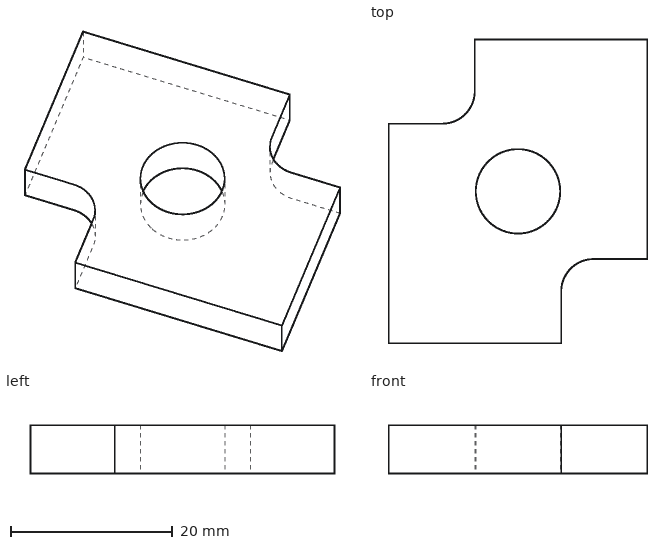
import cadquery as cq

width = 32.0
length = 37.6
thickness = 6.0

hole_diameter = 10.4

notch_width = 10.65
notch_length = 10.4
notch_radius = 4.0


def corner_notch(x_side, y_side):
    """Cutter for the corner on the given sides (+1 or -1), rounded at its inner corner."""
    return (
        cq.Workplane("XY")
        .center(x_side * width / 2, y_side * length / 2)
        .rect(2 * notch_width, 2 * notch_length)
        .extrude(thickness)
        .edges("|Z")
        .fillet(notch_radius)
    )


plate = cq.Workplane("XY").rect(width, length).extrude(thickness)
hole = cq.Workplane("XY").circle(hole_diameter / 2).extrude(thickness)

result = plate.cut(hole)
for x_side, y_side in ((-1, 1), (1, -1)):
    result = result.cut(corner_notch(x_side, y_side))